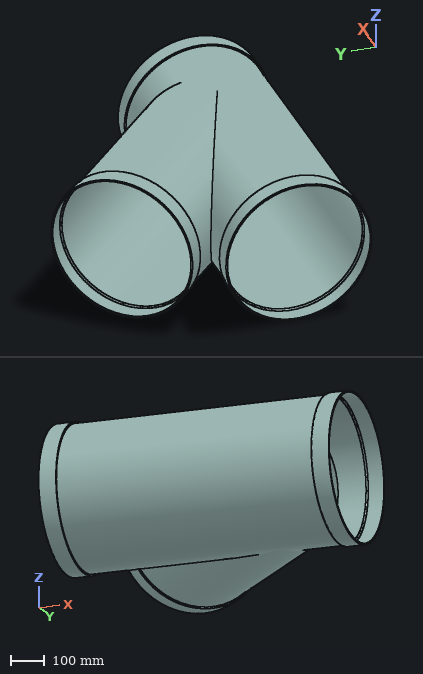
import cadquery as cq
import math

run_length = 918.0
bore_diameter = 440.0
pipe_diameter = 450.0
collar_diameter = 460.0
collar_width = 55.0
socket_depth = 50.0

branch_angle = 45.0
branch_length = 683.0
junction_x = 684.0

branch_radians = math.radians(branch_angle)
branch_direction = cq.Vector(-math.cos(branch_radians), math.sin(branch_radians), 0)
run_direction = cq.Vector(1, 0, 0)

run_start = cq.Vector(0, 0, 0)
run_end = run_direction * run_length
junction = run_direction * junction_x
branch_end = junction + branch_direction * branch_length


def cylinder(start, direction, length, diameter):
    """Solid cylinder running from start along direction."""
    return cq.Workplane(cq.Solid.makeCylinder(diameter / 2, length, start, direction))


def socket(mouth, inward):
    """Solid filling the straight socket and the cone-shaped shoulder behind it."""
    shoulder_height = (pipe_diameter - bore_diameter) / 2
    shoulder = cq.Solid.makeCone(
        pipe_diameter / 2,
        bore_diameter / 2,
        shoulder_height,
        mouth + inward * socket_depth,
        inward,
    )
    return cylinder(mouth, inward, socket_depth, pipe_diameter).union(cq.Workplane(shoulder))


outside = cylinder(run_start, run_direction, run_length, pipe_diameter).union(
    cylinder(junction, branch_direction, branch_length, pipe_diameter)
)

inside = cylinder(run_start, run_direction, run_length, bore_diameter).union(
    cylinder(junction, branch_direction, branch_length, bore_diameter)
)

open_ends = [
    (run_start, run_direction),
    (run_end, -run_direction),
    (branch_end, -branch_direction),
]
for mouth, inward in open_ends:
    outside = outside.union(cylinder(mouth, inward, collar_width, collar_diameter))
    inside = inside.union(socket(mouth, inward))

result = outside.cut(inside)